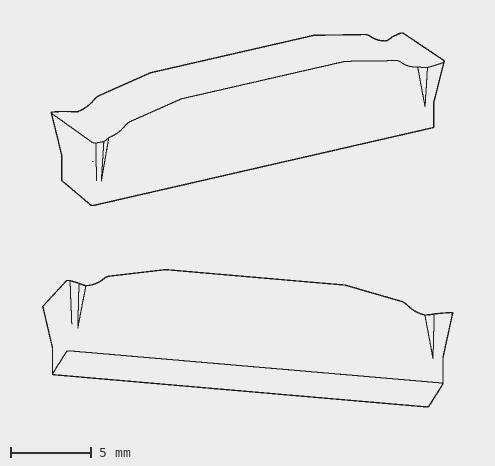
import cadquery as cq
import math

length = 24.97
height = 5.97
body_width = 4.15
body_length = 23.92
body_corner_radius = 0.162

edge_height = 4.6
rake_angle = math.radians(8)
rake_length = 1.12
floor_radius = 2.07
floor_exit_angle = math.radians(45)
shoulder_radius = 0.7
ramp_angle = math.radians(12)

head_width = 5.02
edge_setback = 0.4
head_corner = 0.2
land_length = 0.4
land_length_low = 0.05
side_length = 1.2
side_back_taper = 0.087
land_back_taper = 0.012
flare_run = 1.05
flare_inset = 0.67

relief_bottom = 1.75
head_bottom = 0.82


def bend(start, angle_in, angle_out, radius):
    """Middle and end points of an arc turning between two slope angles."""
    turn = math.copysign(1, angle_out - angle_in)

    def at(angle):
        return (
            start[0] + turn * radius * (math.sin(angle) - math.sin(angle_in)),
            start[1] + turn * radius * (math.cos(angle_in) - math.cos(angle)),
        )

    return at((angle_in + angle_out) / 2), at(angle_out)


def side_profile():
    """Chipbreaker and ramp profile in the YZ plane, spanning the head width."""
    edge = (-length / 2, edge_height)
    rake_end = (edge[0] + rake_length, edge_height - rake_length * math.tan(rake_angle))
    floor_mid, floor_end = bend(rake_end, -rake_angle, floor_exit_angle, floor_radius)
    shoulder_mid, shoulder_end = bend(floor_end, floor_exit_angle, ramp_angle, shoulder_radius)
    ramp_run = (height - shoulder_end[1]) / math.tan(ramp_angle)
    crown = (shoulder_end[0] + ramp_run, height)

    def opposite(point):
        return (-point[0], point[1])

    return (
        cq.Workplane("YZ")
        .moveTo(edge[0], 0)
        .lineTo(*edge)
        .lineTo(*rake_end)
        .threePointArc(floor_mid, floor_end)
        .threePointArc(shoulder_mid, shoulder_end)
        .lineTo(*crown)
        .lineTo(*opposite(crown))
        .lineTo(*opposite(shoulder_end))
        .threePointArc(opposite(shoulder_mid), opposite(floor_end))
        .threePointArc(opposite(floor_mid), opposite(rake_end))
        .lineTo(*opposite(edge))
        .lineTo(-edge[0], 0)
        .close()
        .extrude(head_width, both=True)
    )


def head_section(z, half_width, long_y, short_y, corner, land):
    """Plan outline of the head at one height, as a wire."""
    rear_y = -length / 2 + side_length
    rear_x = half_width - side_back_taper
    root = (rear_x - flare_inset, rear_y + flare_run)
    land_end = (-half_width + land_back_taper, long_y + corner + land)
    front_x = half_width - corner
    arc_inset = corner * (1 - math.sqrt(0.5))
    arc_x = half_width - arc_inset
    return (
        cq.Workplane("XY", origin=(0, 0, z))
        .moveTo(-root[0], root[1])
        .lineTo(-rear_x, rear_y)
        .lineTo(*land_end)
        .lineTo(-half_width, long_y + corner)
        .threePointArc((-arc_x, long_y + arc_inset), (-front_x, long_y))
        .lineTo(front_x, short_y)
        .threePointArc((arc_x, short_y + arc_inset), (half_width, short_y + corner))
        .lineTo(rear_x, rear_y)
        .lineTo(*root)
        .close()
        .val()
    )


def cutting_head():
    """Head at the -Y end, with end and side relief."""
    base_half = body_width / 2
    edge_half = head_width / 2
    relief_fraction = (relief_bottom - head_bottom) / (edge_height - head_bottom)
    middle_half = base_half + relief_fraction * (edge_half - base_half)
    front_y = -body_length / 2
    middle_corner = middle_half - (base_half - body_corner_radius)

    long_y = -length / 2
    short_y = long_y + edge_setback
    top = head_section(edge_height, edge_half, long_y, short_y, head_corner, land_length)
    middle = head_section(relief_bottom, middle_half, front_y, front_y, middle_corner, land_length_low)
    bottom = head_section(head_bottom, base_half, front_y, front_y, body_corner_radius, land_length_low)
    upper = cq.Solid.makeLoft([middle, top], True)
    lower = cq.Solid.makeLoft([bottom, middle], True)
    return cq.Workplane(upper).union(cq.Workplane(lower))


body = (
    cq.Workplane("XY")
    .rect(body_width, body_length)
    .extrude(height)
    .edges("|Z")
    .fillet(body_corner_radius)
)

insert = body
for turn in (0, 180):
    insert = insert.union(cutting_head().rotate((0, 0, 0), (0, 0, 1), turn))

result = insert.intersect(side_profile())